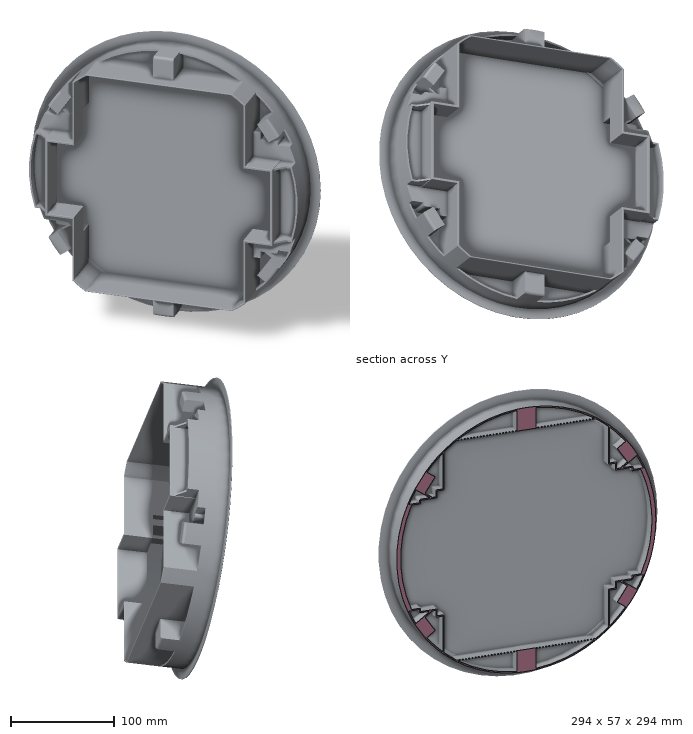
import cadquery as cq

FLANGE_R = 147.0
FLANGE_BACK_R = 137.5
FLANGE_DEPTH = 3.0
FLANGE_EDGE = 1.0
WALL_R = 137.0
WALL = 1.8
WALL_INNER_R = WALL_R - WALL
WALL_DEPTH = 23.8
HIGH_WALL_DEPTH = 43.0

LID_R = 132.3
LID_DEPTH = 11.0
FLOOR_DEPTH = 12.3

DEPTH = 57.0
ROOM_X = 88.2
ROOM_Z = 114.7
ROOM_END_WALL = 1.2
RIM_FILLET = 0.45
EAR_X = 115.8
EAR_Z = 40.3
EAR_WALL = 2.4
EAR_INNER_X = EAR_X - EAR_WALL
EAR_INNER_Z = EAR_Z - EAR_WALL

ROOF_DEPTH = 31.8
ROOF = 3.5
PASSAGE_X = 95.5
PASSAGE_STEP_X = 113.2
PASSAGE_STEP_FILLET = 2.5
PASSAGE_Z = 66.2
PASSAGE_STEP_Z = 59.0
PASSAGE_OUTER_Z = 55.5

GUSSET_OUTER_Z = EAR_INNER_Z + WALL
GUSSET_SLOPE_X = 125.5

TAB_WIDTH = 20.5
TAB_FILLET = 2.5
TAB_ANGLE = 35.0
SLANTED_TAB_INNER_R = 124.0
RIB_INNER_R = 110.5


def at_depth(depth):
    """Workplane facing -Y at a depth: local x is X, local y is Z."""
    return cq.Workplane("XZ", origin=(0, -depth, 0))


def disc(radius, start, end):
    return at_depth(start).circle(radius).extrude(end - start)


def block(size_x, size_z, start, end, center=(0, 0)):
    return at_depth(start).center(*center).rect(size_x, size_z).extrude(end - start)


def make_lid():
    return disc(LID_R, 0, LID_DEPTH)


def make_flange():
    rim_depth = FLANGE_DEPTH - FLANGE_EDGE
    profile = [(0, 0), (FLANGE_BACK_R, 0), (FLANGE_R, -rim_depth), (FLANGE_R, -FLANGE_DEPTH), (0, -FLANGE_DEPTH)]
    return cq.Workplane("XY").polyline(profile).close().revolve(360, (0, 0, 0), (0, 1, 0))


def make_round_wall():
    wall = disc(WALL_R, 0, WALL_DEPTH).cut(disc(WALL_INNER_R, FLOOR_DEPTH, WALL_DEPTH))
    sides = disc(WALL_R, FLOOR_DEPTH, HIGH_WALL_DEPTH).cut(disc(WALL_INNER_R, FLOOR_DEPTH, HIGH_WALL_DEPTH))
    return wall.union(sides.intersect(block(2 * WALL_R, 2 * GUSSET_OUTER_Z, FLOOR_DEPTH, HIGH_WALL_DEPTH)))


def make_room(size_x, size_z, radius, start):
    return block(size_x, size_z, start, DEPTH).intersect(disc(radius, start, DEPTH))


def make_passages(inset, radius, start, end):
    """Stepped band across both sides, drawn in by the inset and trimmed to a round end."""
    narrow = block(2 * WALL_R, 2 * (PASSAGE_OUTER_Z - inset), start, end)
    middle = block(2 * (PASSAGE_STEP_X - inset), 2 * (PASSAGE_STEP_Z - inset), start, end)
    middle = middle.edges("|Y").fillet(PASSAGE_STEP_FILLET - inset)
    wide = block(2 * (PASSAGE_X - inset), 2 * (PASSAGE_Z - inset), start, end)
    return narrow.union(middle).union(wide).intersect(disc(radius, start, end))


def make_gussets():
    slope_end = HIGH_WALL_DEPTH + GUSSET_SLOPE_X - EAR_X
    profile = [
        (0, -ROOF_DEPTH),
        (WALL_INNER_R, -ROOF_DEPTH),
        (WALL_INNER_R, -HIGH_WALL_DEPTH),
        (GUSSET_SLOPE_X, -HIGH_WALL_DEPTH),
        (EAR_X, -slope_end),
        (0, -slope_end),
    ]
    half = cq.Workplane("XY").polyline(profile).close().extrude(GUSSET_OUTER_Z, both=True)
    return half.union(half.mirror("YZ")).intersect(disc(WALL_R, 0, DEPTH))


def turned(shape, angle):
    """Turn about the Y axis, from +X towards +Z."""
    return shape.rotate((0, 0, 0), (0, 1, 0), -angle)


def make_tab(angle, inner_r):
    length = WALL_R - inner_r
    return turned(block(2 * length, TAB_WIDTH, FLOOR_DEPTH, HIGH_WALL_DEPTH, (inner_r + length, 0)), angle)


def make_tabs():
    """Solid tabs trimmed to the round wall, with their outer front edges rounded."""
    tabs = make_tab(90, ROOM_Z - ROOM_END_WALL).union(make_tab(-90, ROOM_Z - ROOM_END_WALL))
    for angle in (TAB_ANGLE, 180 - TAB_ANGLE, 180 + TAB_ANGLE, -TAB_ANGLE):
        tabs = tabs.union(make_tab(angle, SLANTED_TAB_INNER_R))
    return tabs.intersect(disc(WALL_R, 0, HIGH_WALL_DEPTH).faces("<Y").edges().fillet(TAB_FILLET))


def make_ribs():
    """Ribs in line with the ear-side faces of the slanted tabs, reaching in to the passages."""
    length = WALL_INNER_R - RIB_INNER_R
    center = (RIB_INNER_R + length / 2, -(TAB_WIDTH - WALL) / 2)
    rib = turned(block(length, WALL, FLOOR_DEPTH, ROOF_DEPTH, center), TAB_ANGLE)
    pair = rib.union(rib.mirror("XY"))
    return pair.union(pair.mirror("YZ"))


def make_housing():
    housing = make_flange().union(make_round_wall())
    housing = housing.union(make_room(2 * ROOM_X, 2 * ROOM_Z, WALL_R, 0))
    housing = housing.union(make_passages(0, WALL_R, 0, ROOF_DEPTH))
    housing = housing.union(block(2 * EAR_X, 2 * EAR_Z, ROOF_DEPTH, DEPTH))
    gussets = make_gussets().cut(block(2 * WALL_R, 2 * EAR_INNER_Z, ROOF_DEPTH, DEPTH))
    housing = housing.union(gussets)
    housing = housing.union(make_tabs()).union(make_ribs())
    room_x = 2 * (ROOM_X - WALL)
    room_z = 2 * (ROOM_Z - ROOM_END_WALL)
    housing = housing.cut(make_room(room_x, room_z, WALL_INNER_R, FLOOR_DEPTH))
    housing = housing.cut(make_room(room_x, room_z, LID_R, LID_DEPTH))
    housing = housing.cut(block(2 * EAR_INNER_X, 2 * EAR_INNER_Z, LID_DEPTH, DEPTH))
    housing = housing.cut(make_lid())
    housing = housing.cut(make_passages(WALL, LID_R, LID_DEPTH, ROOF_DEPTH - ROOF))
    return housing.faces("<Y").edges().fillet(RIM_FILLET)


lid = make_lid()
housing = make_housing()
result = cq.Compound.makeCompound([housing.val(), lid.val()])